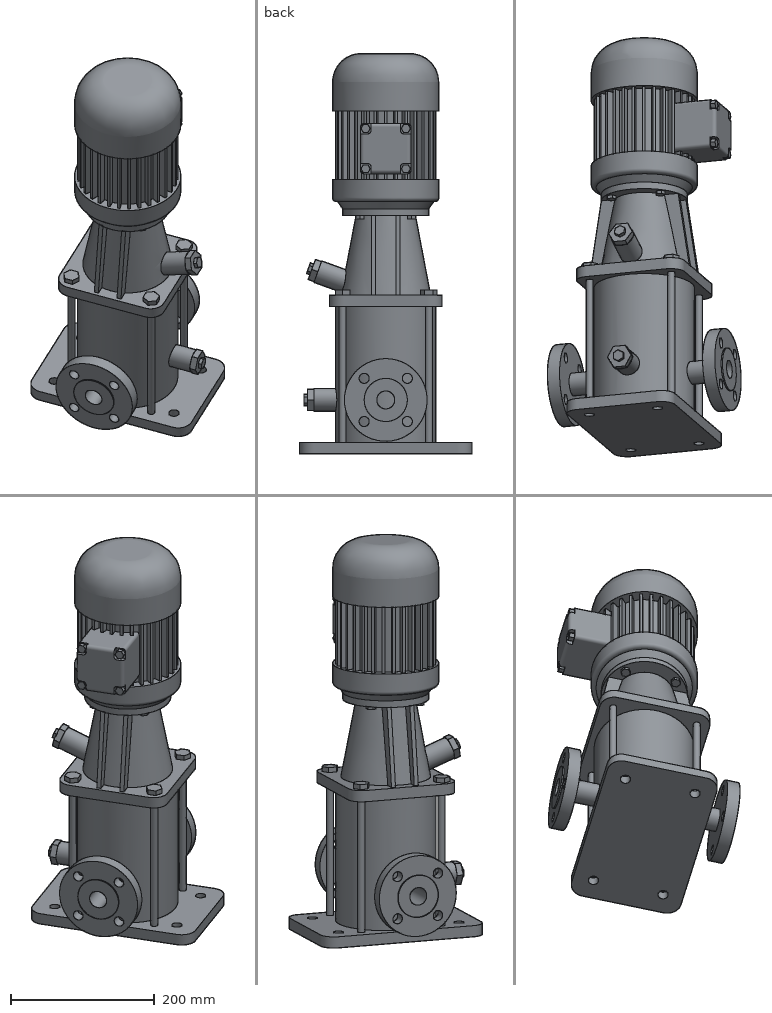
import cadquery as cq
import math


BASE_LENGTH = 240.0
PLATE_WIDTH = 157.0
PLATE_THICKNESS = 16.0
PLATE_CORNER_RADIUS = 20.0
ANCHOR_HOLE_DIA = 14.0
ANCHOR_SPACING_X = 180.0
ANCHOR_SPACING_Y = 100.0

BARREL_DIA = 140.0
BARREL_LENGTH = 189.0
HEAD_PLATE_Z = PLATE_THICKNESS + BARREL_LENGTH
HEAD_TOP_Z = HEAD_PLATE_Z + PLATE_THICKNESS
TIE_ROD_DIA = 10.0
TIE_ROD_SPACING = 120.0
NUT_ACROSS_FLATS = 20.0
NUT_HEIGHT = 7.0

PORT_Z = 75.0
PORT_FACE_Y = 125.0
PORT_PIPE_DIA = 32.0
PORT_BORE_DIA = 25.0
FLANGE_DIA = 115.0
FLANGE_THICKNESS = 18.0
RAISED_FACE_DIA = 60.0
RAISED_FACE_HEIGHT = 2.0
FLANGE_HOLE_DIA = 14.0
FLANGE_BOLT_CIRCLE_DIA = 85.0
FLANGE_HOLE_COUNT = 4
FLANGE_FIRST_HOLE_ANGLE = 45.0

STUB_DIA = 32.0
DRAIN_END_X = 100.0
FILLER_END_X = 94.5
FILLER_END_Z = 253.5
FILLER_TILT = 20.0
FILLER_LENGTH = 50.0
PLUG_ACROSS_FLATS = 30.0
PLUG_HEIGHT = 9.0
PLUG_TIP_ACROSS_FLATS = 14.0
PLUG_TIP_HEIGHT = 5.0

LANTERN_TOP_Z = 331.5
LANTERN_BOTTOM_RADIUS = 62.5
LANTERN_TOP_RADIUS = 41.5
RIB_THICKNESS = 6.0
RIB_OFFSET_X = 17.0
RIB_BOTTOM_REACH = 73.5
RIB_TOP_REACH = 56.5
RIB_ROOT_Y = 30.0

SPIGOT_RADIUS = 60.0
SPIGOT_TOP_Z = 341.0
MOTOR_RADIUS = 74.0
END_BELL_ROUNDING = 5.0
END_BELL_STRAIGHT_Z = 356.0
END_BELL_NECK_RADIUS = 67.0
FINS_BOTTOM_Z = 382.0
FINS_TOP_Z = 477.0
FRAME_RADIUS = 60.0
FIN_TIP_RADIUS = 70.0
FIN_THICKNESS = 4.0
FIN_COUNT = 30
COVER_TOP_Z = 517.0
DOME_ROUNDING = 40.0
DOME_TOP_Z = COVER_TOP_Z + DOME_ROUNDING
MOTOR_SCREW_SPACING = 72.0
MOTOR_SCREW_ACROSS_FLATS = 12.0
MOTOR_SCREW_HEIGHT = 4.5

BOX_SIZE = 70.0
BOX_ROUNDING = 5.0
BOX_CENTER_Z = 424.6
BOX_FACE_Y = 117.0
BOX_ROOT_Y = 50.0
BOX_POCKET_SIZE = 14.5
BOX_POCKET_DEPTH = 8.5
BOX_POCKET_ROUNDING = 5.0
BOX_SCREW_ACROSS_FLATS = 11.0
BOX_SCREW_INSET = 7.0
BOX_SCREW_HEIGHT = 7.0


def hex_prism(plane, across_flats, height, turn=0.0):
    """Hexagonal prism on a plane; turn = 0 puts a corner on the plane's local x axis."""
    across_corners = across_flats / math.cos(math.radians(30))
    return (
        cq.Workplane(plane)
        .transformed(rotate=(0, 0, turn))
        .polygon(6, across_corners)
        .extrude(height)
    )


def square_corners(spacing):
    half = spacing / 2
    return [(x, y) for x in (-half, half) for y in (-half, half)]


def plate(length, bottom_z):
    return (
        cq.Workplane("XY")
        .workplane(offset=bottom_z)
        .rect(length, PLATE_WIDTH)
        .extrude(PLATE_THICKNESS)
        .edges("|Z")
        .fillet(PLATE_CORNER_RADIUS)
    )


def make_base():
    return (
        plate(BASE_LENGTH, 0)
        .faces(">Z")
        .workplane()
        .rect(ANCHOR_SPACING_X, ANCHOR_SPACING_Y, forConstruction=True)
        .vertices()
        .hole(ANCHOR_HOLE_DIA)
    )


def make_barrel():
    base_top = cq.Workplane("XY").workplane(offset=PLATE_THICKNESS)
    barrel = base_top.circle(BARREL_DIA / 2).extrude(BARREL_LENGTH)
    rods = (
        base_top
        .pushPoints(square_corners(TIE_ROD_SPACING))
        .circle(TIE_ROD_DIA / 2)
        .extrude(BARREL_LENGTH)
    )
    return barrel.union(rods)


def make_head():
    head = plate(PLATE_WIDTH, HEAD_PLATE_Z)
    for x, y in square_corners(TIE_ROD_SPACING):
        turn = 0 if x < 0 else 90
        head = head.union(
            hex_prism(cq.Plane(origin=(x, y, HEAD_TOP_Z)), NUT_ACROSS_FLATS, NUT_HEIGHT, turn)
        )
    return head


def make_port(side):
    """Hollow pipe and flange on the -Y (side = -1) or +Y (side = 1) side; the bore ends at the barrel."""
    axis_plane = cq.Plane(origin=(0, 0, PORT_Z), xDir=(1, 0, 0), normal=(0, side, 0))
    flange_front = PORT_FACE_Y - RAISED_FACE_HEIGHT
    flange_back = flange_front - FLANGE_THICKNESS
    pipe = cq.Workplane(axis_plane).circle(PORT_PIPE_DIA / 2).extrude(flange_front)
    flange = (
        cq.Workplane(axis_plane)
        .workplane(offset=flange_back)
        .circle(FLANGE_DIA / 2)
        .extrude(FLANGE_THICKNESS)
        .faces(">Y" if side > 0 else "<Y")
        .workplane(centerOption="CenterOfBoundBox")
        .polarArray(FLANGE_BOLT_CIRCLE_DIA / 2, FLANGE_FIRST_HOLE_ANGLE, 360, FLANGE_HOLE_COUNT)
        .hole(FLANGE_HOLE_DIA)
    )
    raised_face = (
        cq.Workplane(axis_plane)
        .workplane(offset=flange_front)
        .circle(RAISED_FACE_DIA / 2)
        .extrude(RAISED_FACE_HEIGHT)
    )
    bore = cq.Workplane(axis_plane).circle(PORT_BORE_DIA / 2).extrude(PORT_FACE_Y)
    return pipe.union(flange).union(raised_face).cut(bore)


def make_plugged_stub(end_x, end_z, tilt, length):
    """Round stub rising from +X by the tilt angle, closed by a hexagon plug with a smaller hexagon tip."""
    angle = math.radians(tilt)
    run, rise = math.cos(angle), math.sin(angle)

    def plane_along(distance):
        origin = (end_x + distance * run, 0, end_z + distance * rise)
        return cq.Plane(origin=origin, xDir=(0, 1, 0), normal=(run, 0, rise))

    stub = cq.Workplane(plane_along(-length)).circle(STUB_DIA / 2).extrude(length)
    plug = hex_prism(plane_along(0), PLUG_ACROSS_FLATS, PLUG_HEIGHT)
    tip = hex_prism(plane_along(PLUG_HEIGHT), PLUG_TIP_ACROSS_FLATS, PLUG_TIP_HEIGHT, 90)
    return stub.union(plug).union(tip)


def make_lantern():
    lantern = (
        cq.Workplane("XZ")
        .moveTo(0, HEAD_TOP_Z)
        .lineTo(LANTERN_BOTTOM_RADIUS, HEAD_TOP_Z)
        .lineTo(LANTERN_TOP_RADIUS, LANTERN_TOP_Z)
        .lineTo(0, LANTERN_TOP_Z)
        .close()
        .revolve(360, (0, 0, 0), (0, 1, 0))
    )
    for side in (-1, 1):
        for rib_x in (-RIB_OFFSET_X, RIB_OFFSET_X):
            rib = (
                cq.Workplane("YZ")
                .workplane(offset=rib_x - RIB_THICKNESS / 2)
                .moveTo(side * RIB_ROOT_Y, HEAD_TOP_Z)
                .lineTo(side * RIB_BOTTOM_REACH, HEAD_TOP_Z)
                .lineTo(side * RIB_TOP_REACH, LANTERN_TOP_Z)
                .lineTo(side * RIB_ROOT_Y, LANTERN_TOP_Z)
                .close()
                .extrude(RIB_THICKNESS)
            )
            lantern = lantern.union(rib)
    return lantern


def make_motor_housing():
    """Revolved spigot, end bell, frame, fan cover and dome."""
    rounding_mid = END_BELL_ROUNDING * math.sin(math.radians(45))
    end_bell_bottom_z = END_BELL_STRAIGHT_Z - END_BELL_ROUNDING
    rounding_center_radius = MOTOR_RADIUS - END_BELL_ROUNDING
    dome_mid = DOME_ROUNDING * math.sin(math.radians(45))
    dome_center_radius = MOTOR_RADIUS - DOME_ROUNDING
    return (
        cq.Workplane("XZ")
        .moveTo(0, LANTERN_TOP_Z)
        .lineTo(SPIGOT_RADIUS, LANTERN_TOP_Z)
        .lineTo(SPIGOT_RADIUS, SPIGOT_TOP_Z)
        .lineTo(END_BELL_NECK_RADIUS, end_bell_bottom_z)
        .lineTo(rounding_center_radius, end_bell_bottom_z)
        .threePointArc(
            (rounding_center_radius + rounding_mid, END_BELL_STRAIGHT_Z - rounding_mid),
            (MOTOR_RADIUS, END_BELL_STRAIGHT_Z),
        )
        .lineTo(MOTOR_RADIUS, FINS_BOTTOM_Z)
        .lineTo(FRAME_RADIUS, FINS_BOTTOM_Z)
        .lineTo(FRAME_RADIUS, FINS_TOP_Z)
        .lineTo(MOTOR_RADIUS, FINS_TOP_Z)
        .lineTo(MOTOR_RADIUS, COVER_TOP_Z)
        .threePointArc(
            (dome_center_radius + dome_mid, COVER_TOP_Z + dome_mid),
            (dome_center_radius, DOME_TOP_Z),
        )
        .lineTo(0, DOME_TOP_Z)
        .close()
        .revolve(360, (0, 0, 0), (0, 1, 0))
    )


def make_fins():
    """Radial cooling fins, the first one pointing toward -Y; they start inside the frame."""
    fin_root = FRAME_RADIUS - FIN_THICKNESS
    return (
        cq.Workplane("XY")
        .workplane(offset=FINS_BOTTOM_Z)
        .polarArray((fin_root + FIN_TIP_RADIUS) / 2, -90, 360, FIN_COUNT)
        .rect(FIN_TIP_RADIUS - fin_root, FIN_THICKNESS)
        .extrude(FINS_TOP_Z - FINS_BOTTOM_Z)
    )


def make_motor():
    motor = make_motor_housing().union(make_fins())
    for x, y in square_corners(MOTOR_SCREW_SPACING):
        plane = cq.Plane(origin=(x, y, LANTERN_TOP_Z - MOTOR_SCREW_HEIGHT))
        motor = motor.union(hex_prism(plane, MOTOR_SCREW_ACROSS_FLATS, MOTOR_SCREW_HEIGHT, 90))
    return motor


def make_terminal_box():
    """Rounded box whose four outer corners are notched to hold hexagon screws."""
    depth = BOX_FACE_Y - BOX_ROOT_Y
    box = (
        cq.Workplane("XY")
        .box(BOX_SIZE, depth, BOX_SIZE)
        .translate((0, BOX_ROOT_Y + depth / 2, BOX_CENTER_Z))
        .edges("|Y or >Y")
        .fillet(BOX_ROUNDING)
    )
    floor_y = BOX_FACE_Y - BOX_POCKET_DEPTH
    corner = BOX_SIZE / 2
    screw_center = corner - BOX_SCREW_INSET
    for side_x in (-1, 1):
        for side_z in (-1, 1):
            pocket = (
                cq.Workplane("XY")
                .box(2 * BOX_POCKET_SIZE, 2 * BOX_POCKET_DEPTH, 2 * BOX_POCKET_SIZE)
                .edges("|Y")
                .fillet(BOX_POCKET_ROUNDING)
                .translate((side_x * corner, BOX_FACE_Y, BOX_CENTER_Z + side_z * corner))
            )
            screw_plane = cq.Plane(
                origin=(side_x * screw_center, floor_y, BOX_CENTER_Z + side_z * screw_center),
                xDir=(1, 0, 0),
                normal=(0, 1, 0),
            )
            screw = hex_prism(screw_plane, BOX_SCREW_ACROSS_FLATS, BOX_SCREW_HEIGHT)
            box = box.cut(pocket).union(screw)
    return box


result = (
    make_port(-1)
    .union(make_port(1))
    .union(make_base())
    .union(make_barrel())
    .union(make_head())
    .union(make_plugged_stub(DRAIN_END_X, PORT_Z, 0, DRAIN_END_X))
    .union(make_lantern())
    .union(make_plugged_stub(FILLER_END_X, FILLER_END_Z, FILLER_TILT, FILLER_LENGTH))
    .union(make_motor())
    .union(make_terminal_box())
)